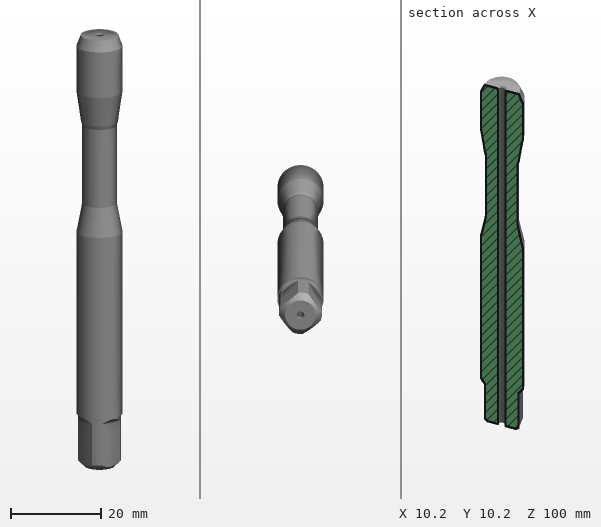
import cadquery as cq

length = 100.0
body_diameter = 10.2

head_top_diameter = 8.3
head_chamfer_height = 2.5
head_taper_top_z = 86.9
head_taper_bottom_z = 80.0
head_taper_bottom_diameter = 8.2
neck_top_z = 79.1

neck_diameter = 7.7
neck_bottom_z = 61.0
shank_taper_bottom_z = 54.4
shank_bottom_z = 12.2

drive_diameter = 9.6
drive_across_flats = 8.2
drive_flat_top_z = 11.0
flat_runout_height = 0.9
drive_end_diameter = 6.8
drive_end_chamfer = (drive_diameter - drive_end_diameter) / 2

hole_diameter = 1.7
hole_mouth_diameter = 2.3
hole_mouth_depth = (hole_mouth_diameter - hole_diameter) / 2


def turned_body():
    """Revolve the full stepped outline about the Z axis."""
    diameters_and_heights = [
        (drive_end_diameter, 0),
        (drive_diameter, drive_end_chamfer),
        (drive_diameter, shank_bottom_z),
        (body_diameter, shank_bottom_z),
        (body_diameter, shank_taper_bottom_z),
        (neck_diameter, neck_bottom_z),
        (neck_diameter, neck_top_z),
        (head_taper_bottom_diameter, head_taper_bottom_z),
        (body_diameter, head_taper_top_z),
        (body_diameter, length - head_chamfer_height),
        (head_top_diameter, length),
    ]
    outline = [(diameter / 2, z) for diameter, z in diameters_and_heights]
    profile = cq.Workplane("XZ").moveTo(0, 0)
    for radius, z in outline:
        profile = profile.lineTo(radius, z)
    return profile.lineTo(0, length).close().revolve(360, (0, 0), (0, 1))


def flat_cutter():
    """Wedge that cuts the +X drive flat, with a sloped run-out at its top."""
    flat_x = drive_across_flats / 2
    outer_x = drive_diameter / 2
    runout_top_z = drive_flat_top_z + flat_runout_height
    return (
        cq.Workplane("XZ")
        .moveTo(flat_x, 0)
        .lineTo(outer_x, 0)
        .lineTo(outer_x, runout_top_z)
        .lineTo(flat_x, drive_flat_top_z)
        .close()
        .extrude(outer_x, both=True)
    )


def coolant_hole():
    """Through hole with a 45 degree countersink at the head end."""
    bore = cq.Workplane("XY").circle(hole_diameter / 2).extrude(length)
    countersink = (
        cq.Workplane("XY", origin=(0, 0, length - hole_mouth_depth))
        .circle(hole_diameter / 2)
        .workplane(offset=hole_mouth_depth)
        .circle(hole_mouth_diameter / 2)
        .loft(ruled=True)
    )
    return bore.union(countersink)


result = turned_body()
for angle in (0, 90, 180, 270):
    result = result.cut(flat_cutter().rotate((0, 0, 0), (0, 0, 1), angle))
result = result.cut(coolant_hole())